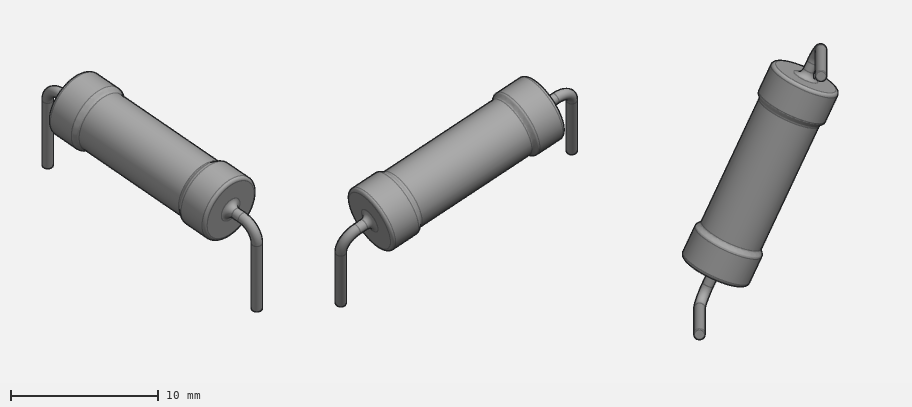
import cadquery as cq

overall_length = 20.8
overall_height = 10.0

body_length = 15.0
cap_diameter = 5.0
cap_radius = cap_diameter / 2
cap_rim_fillet = 0.25
cap_length = 2.25
shoulder_length = 0.5
shoulder_drop = 0.25
barrel_radius = cap_radius - shoulder_drop

wire_diameter = 0.8
wire_radius = wire_diameter / 2
bend_radius = 1.4
root_flare = 0.5
tip_fillet = 0.06

half_body = body_length / 2
lead_x = overall_length / 2 - wire_radius
lead_bottom = cap_radius - overall_height


def make_body():
    """Revolve the half profile of caps, shoulders and barrel about the X axis."""
    shoulder_outer = half_body - cap_length
    shoulder_inner = shoulder_outer - shoulder_length
    rim_x = half_body - cap_rim_fillet
    rim_z = cap_radius - cap_rim_fillet
    along_axis = (1, 0)
    profile = (
        cq.Workplane("XZ")
        .moveTo(-half_body, 0)
        .lineTo(-half_body, rim_z)
        .tangentArcPoint((-rim_x, cap_radius), relative=False)
        .lineTo(-shoulder_outer, cap_radius)
        .spline([(-shoulder_inner, barrel_radius)], tangents=[along_axis, along_axis], includeCurrent=True)
        .lineTo(shoulder_inner, barrel_radius)
        .spline([(shoulder_outer, cap_radius)], tangents=[along_axis, along_axis], includeCurrent=True)
        .lineTo(rim_x, cap_radius)
        .tangentArcPoint((half_body, rim_z), relative=False)
        .lineTo(half_body, 0)
        .close()
    )
    return profile.revolve(360, (0, 0, 0), (1, 0, 0))


def make_left_lead():
    """Sweep the wire from its rounded tip, up and around the bend, to the cap."""
    path = (
        cq.Workplane("XZ")
        .moveTo(-lead_x, lead_bottom)
        .lineTo(-lead_x, -bend_radius)
        .tangentArcPoint((-lead_x + bend_radius, 0), relative=False)
        .lineTo(-half_body, 0)
    )
    wire = (
        cq.Workplane("XY", origin=(-lead_x, 0, lead_bottom))
        .circle(wire_radius)
        .sweep(path)
    )
    return wire.faces("<Z").edges().fillet(tip_fillet)


def make_left_root():
    """Revolve the concave flare joining the wire to the cap's end face."""
    flare_start = -half_body - root_flare
    flare_radius = wire_radius + root_flare
    base_x = -half_body + cap_rim_fillet
    profile = (
        cq.Workplane("XZ")
        .moveTo(flare_start, 0)
        .lineTo(flare_start, wire_radius)
        .radiusArc((-half_body, flare_radius), -root_flare)
        .lineTo(base_x, flare_radius)
        .lineTo(base_x, 0)
        .close()
    )
    return profile.revolve(360, (0, 0, 0), (1, 0, 0))


left_end = make_left_lead().union(make_left_root())
right_end = left_end.mirror("YZ")
result = make_body().union(left_end).union(right_end)